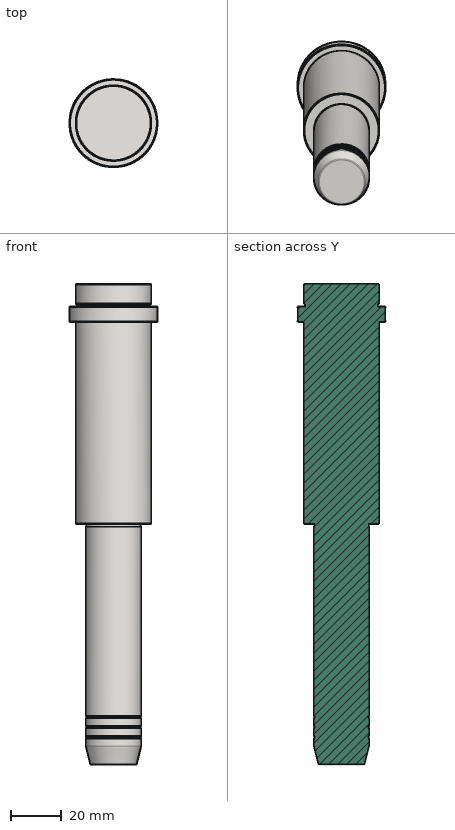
import cadquery as cq
import math

total_length = 190.0
shoulder_z = 95.0
flange_bottom_z = 174.8
flange_top_z = 181.0
neck_height = 0.5

flange_diameter = 35.0
body_diameter = 30.0
pin_diameter = 22.0
neck_depth = 0.5

flange_chamfer = 0.4
body_chamfer = 0.4
head_chamfer = 0.4
tip_fillet = 0.4

relief_height = 1.0
relief_depth = 0.2

taper_length = 7.5
taper_angle = 14.0

groove_count = 3
groove_pitch = 4.0
first_groove_z = 10.8
groove_depth = 0.4
groove_width = 1.1


def cylinder(diameter, bottom_z, top_z):
    return cq.Workplane("XY").workplane(offset=bottom_z).circle(diameter / 2).extrude(top_z - bottom_z)


def ring_cut(diameter, depth, bottom_z, height):
    """Flat-bottomed groove of the given depth around a cylinder."""
    outer = cylinder(diameter + 2 * depth, bottom_z, bottom_z + height)
    return outer.cut(cylinder(diameter - 2 * depth, bottom_z, bottom_z + height))


def v_groove(radius, depth, width, center_z):
    """Ring with a diamond section, for a V groove cutting into a cylinder of the given radius."""
    section = [
        (radius - depth, center_z),
        (radius, center_z + width / 2),
        (radius + depth, center_z),
        (radius, center_z - width / 2),
    ]
    return cq.Workplane("XZ").polyline(section).close().revolve(360, (0, 0, 0), (0, 1, 0))


def make_pin():
    pin_radius = pin_diameter / 2
    tip_radius = pin_radius - taper_length * math.tan(math.radians(taper_angle))
    profile = (
        cq.Workplane("XZ")
        .polyline([
            (0, 0),
            (tip_radius, 0),
            (pin_radius, taper_length),
            (pin_radius, shoulder_z),
            (0, shoulder_z),
        ])
        .close()
    )
    pin = profile.revolve(360, (0, 0, 0), (0, 1, 0)).faces("<Z").edges().fillet(tip_fillet)
    pin = pin.cut(ring_cut(pin_diameter, relief_depth, shoulder_z - relief_height, relief_height))
    for i in range(groove_count):
        groove_z = first_groove_z + i * groove_pitch
        pin = pin.cut(v_groove(pin_radius, groove_depth, groove_width, groove_z))
    return pin


def make_body():
    body = cylinder(body_diameter, shoulder_z, flange_top_z).faces("<Z").edges().chamfer(body_chamfer)
    neck_top_z = flange_top_z + neck_height
    neck = cylinder(body_diameter - 2 * neck_depth, flange_top_z, neck_top_z)
    head = cylinder(body_diameter, neck_top_z, total_length)
    head = head.faces("<Z").edges().chamfer(neck_depth)
    head = head.faces(">Z").edges().chamfer(head_chamfer)
    return body.union(neck).union(head)


def make_flange():
    flange = cylinder(flange_diameter, flange_bottom_z, flange_top_z)
    return flange.edges().chamfer(flange_chamfer)


result = make_body().union(make_flange()).union(make_pin())